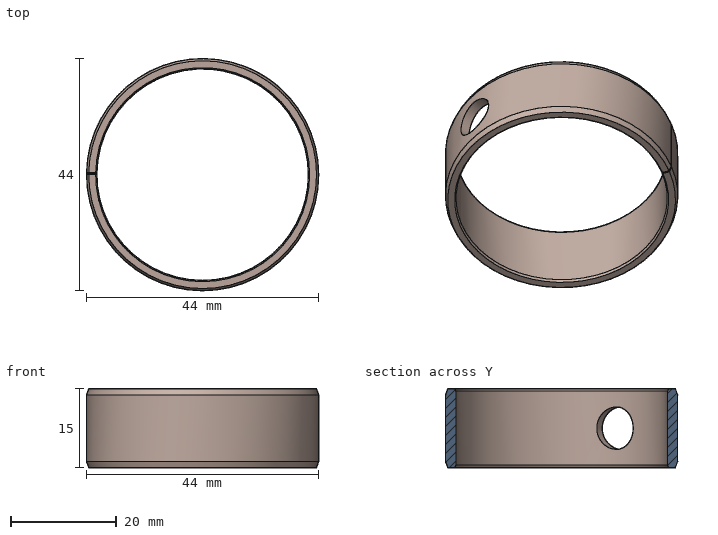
import cadquery as cq

outer_diameter = 44.0
inner_diameter = 40.0
height = 15.0
outer_radius = outer_diameter / 2
inner_radius = inner_diameter / 2

outer_bevel_width = 0.45
outer_bevel_height = 1.2
inner_bevel_width = 0.25
inner_bevel_height = 0.5

slit_width = 0.25
slit_center_y = 0.2

hole_diameter = 8.0
hole_angle = 59.0


def ring():
    """Revolve the bevelled wall section around Z."""
    half_height = height / 2
    outer_side_top = half_height - outer_bevel_height
    inner_side_top = half_height - inner_bevel_height
    section = [
        (inner_radius, -inner_side_top),
        (inner_radius + inner_bevel_width, -half_height),
        (outer_radius - outer_bevel_width, -half_height),
        (outer_radius, -outer_side_top),
        (outer_radius, outer_side_top),
        (outer_radius - outer_bevel_width, half_height),
        (inner_radius + inner_bevel_width, half_height),
        (inner_radius, inner_side_top),
    ]
    return cq.Workplane("XZ").polyline(section).close().revolve(360, (0, 0), (0, 1))


def slit():
    """Full-height cutter reaching from the ring centre past its -X side."""
    return (
        cq.Workplane("XY")
        .box(outer_diameter, slit_width, 2 * height)
        .translate((-outer_radius, slit_center_y, 0))
    )


def radial_hole():
    """Cylinder from the ring centre outward through one wall."""
    return (
        cq.Workplane("YZ")
        .circle(hole_diameter / 2)
        .extrude(outer_diameter)
        .rotate((0, 0, 0), (0, 0, 1), hole_angle)
    )


result = ring().cut(slit()).cut(radial_hole())